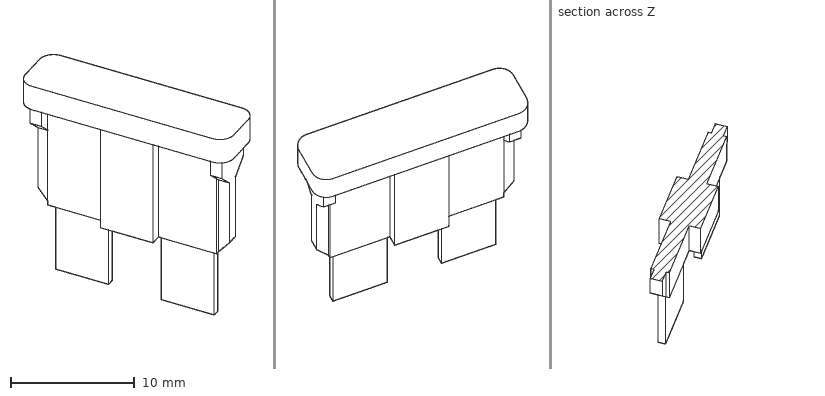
import cadquery as cq

total_height = 18.8

cap_length = 19.05
cap_width = 5.08
cap_height = 2.286
cap_corner_radius = 1.27

body_length = 15.44
body_thickness = 1.6
body_height = 10.13
middle_length = 4.8
middle_thickness = 3.55

wing_span = 17.52
wing_head_thickness = 3.8
wing_head_height = 1.83
wing_taper_height = 1.25
wing_rib_thickness = 1.05
wing_chamfer_height = 1.25

blade_width = 4.84
blade_thickness = 0.65

cap_bottom = total_height - cap_height
body_bottom = cap_bottom - body_height
wing_taper_top = cap_bottom - wing_head_height
wing_taper_bottom = wing_taper_top - wing_taper_height
wing_length = (wing_span - body_length) / 2
blade_center_x = (middle_length + blade_width) / 2


def block(length, thickness, bottom, top, center_x=0):
    """Box centred on Y, spanning bottom to top in Z."""
    return (
        cq.Workplane("XY")
        .box(length, thickness, top - bottom, centered=(True, True, False))
        .translate((center_x, 0, bottom))
    )


def make_cap():
    cap = block(cap_length, cap_width, cap_bottom, total_height)
    return cap.edges("|Z").fillet(cap_corner_radius)


def make_housing():
    body = block(body_length, body_thickness, body_bottom, cap_bottom)
    middle = block(middle_length, middle_thickness, body_bottom, cap_bottom)
    return body.union(middle)


def make_right_wing():
    """Tapered wing on the +X end, with its lower outer corner cut off."""
    inner_x = body_length / 2
    outer_x = wing_span / 2
    half_head = wing_head_thickness / 2
    half_rib = wing_rib_thickness / 2
    wing = (
        cq.Workplane("YZ", origin=(inner_x, 0, 0))
        .moveTo(-half_head, cap_bottom)
        .lineTo(-half_head, wing_taper_top)
        .lineTo(-half_rib, wing_taper_bottom)
        .lineTo(-half_rib, body_bottom)
        .lineTo(half_rib, body_bottom)
        .lineTo(half_rib, wing_taper_bottom)
        .lineTo(half_head, wing_taper_top)
        .lineTo(half_head, cap_bottom)
        .close()
        .extrude(wing_length)
    )
    corner = (
        cq.Workplane("XZ")
        .moveTo(inner_x, body_bottom)
        .lineTo(outer_x, body_bottom)
        .lineTo(outer_x, body_bottom + wing_chamfer_height)
        .close()
        .extrude(wing_rib_thickness, both=True)
    )
    return wing.cut(corner)


def make_blade(side):
    """Blade on the +X (side = 1) or -X (side = -1) half, seated up to the cap."""
    return block(blade_width, blade_thickness, 0, cap_bottom, side * blade_center_x)


right_wing = make_right_wing()
left_wing = right_wing.mirror("YZ")

result = make_cap().union(make_housing()).union(right_wing).union(left_wing)
for side in (-1, 1):
    result = result.union(make_blade(side))